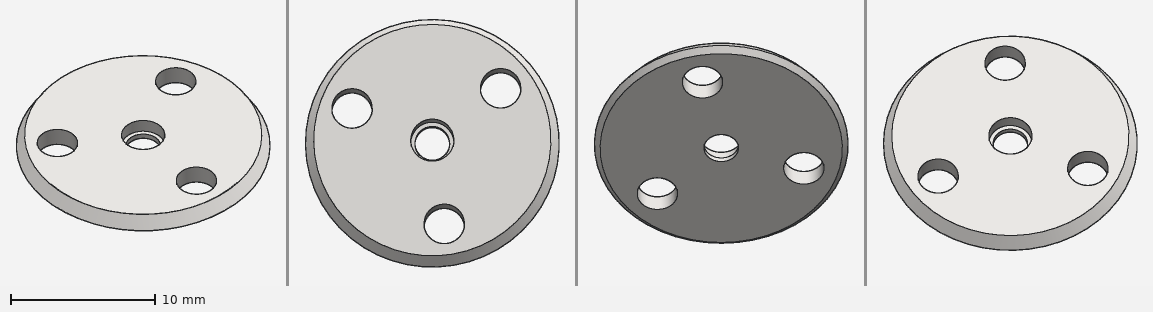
import cadquery as cq

rim_radius = 8.8
thickness = 1.4
rim_height = 0.4
groove_height = 1.2
bottom_radius = rim_radius - rim_height
groove_radius = rim_radius - (groove_height - rim_height)
top_radius = groove_radius + (thickness - groove_height)

bore_diameter = 2.4
counterbore_diameter = 3.0
counterbore_depth = 1.0

mounting_hole_count = 3
mounting_hole_diameter = 2.8
mounting_circle_radius = 6.0
first_hole_angle = 90


def make_disc():
    """Revolve the half section, with its sharp rim and the groove under the top face."""
    return (
        cq.Workplane("XZ")
        .polyline([
            (0, 0),
            (bottom_radius, 0),
            (rim_radius, rim_height),
            (groove_radius, groove_height),
            (top_radius, thickness),
            (0, thickness),
        ])
        .close()
        .revolve(360, (0, 0, 0), (0, 1, 0))
    )


def cut_centre_hole(disc):
    """Cut the through bore and its counterbore from the top face."""
    return (
        disc.faces(">Z")
        .workplane(origin=(0, 0, thickness))
        .cboreHole(bore_diameter, counterbore_diameter, counterbore_depth)
    )


def cut_mounting_holes(disc):
    """Cut the evenly spaced through holes around the centre."""
    return (
        disc.faces(">Z")
        .workplane(origin=(0, 0, thickness))
        .polarArray(mounting_circle_radius, first_hole_angle, 360, mounting_hole_count)
        .hole(mounting_hole_diameter)
    )


result = cut_mounting_holes(cut_centre_hole(make_disc()))